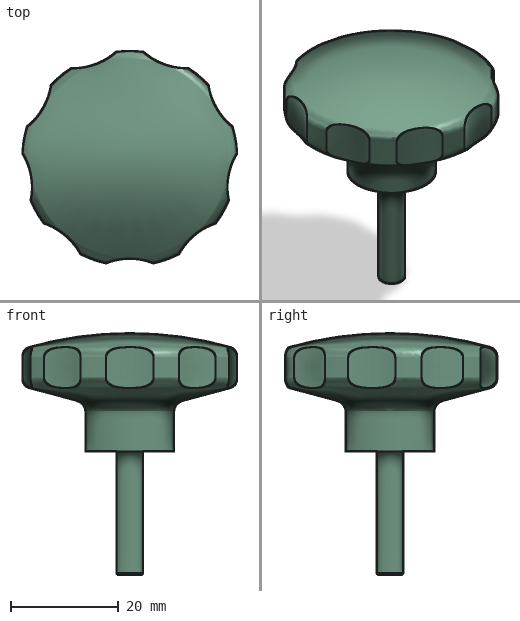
import cadquery as cq
import math

HEAD_HEIGHT = 22.0
HEAD_RADIUS = 20.0
DOME_CORNER_HEIGHT = 19.0
RIM_FILLET = 2.0

HUB_RADIUS = 8.25
HUB_CORNER_HEIGHT = 9.0
HUB_FILLET = 2.0
CONE_ANGLE = 15.0

GRIP_COUNT = 9
GRIP_RADIUS = 12.0
GRIP_CENTRE_DISTANCE = 30.65
FIRST_GRIP_ANGLE = -90.0

STUD_RADIUS = 2.5
STUD_LENGTH = 23.0
STUD_CHAMFER = 0.4

cone_rise = (HEAD_RADIUS - HUB_RADIUS) * math.tan(math.radians(CONE_ANGLE))
cone_corner_height = HUB_CORNER_HEIGHT + cone_rise
dome_rise = HEAD_HEIGHT - DOME_CORNER_HEIGHT
dome_radius = (HEAD_RADIUS**2 + dome_rise**2) / (2 * dome_rise)


def dome_point(radius):
    """Point on the spherical dome at the given distance from the axis."""
    height = HEAD_HEIGHT - dome_radius + math.sqrt(dome_radius**2 - radius**2)
    return radius, height


def round_corner(head, height, fillet_radius):
    """Fillet the circular edge whose centre lies on the axis at the given height."""
    return head.edges(cq.NearestToPointSelector((0, 0, height))).fillet(fillet_radius)


def make_head():
    """Revolved hub, conical underside, rounded rim and domed top."""
    head = (
        cq.Workplane("XZ")
        .lineTo(HUB_RADIUS, 0)
        .lineTo(HUB_RADIUS, HUB_CORNER_HEIGHT)
        .lineTo(HEAD_RADIUS, cone_corner_height)
        .lineTo(HEAD_RADIUS, DOME_CORNER_HEIGHT)
        .threePointArc(dome_point(HEAD_RADIUS / 2), (0, HEAD_HEIGHT))
        .close()
        .revolve(360, (0, 0, 0), (0, 1, 0))
    )
    head = round_corner(head, DOME_CORNER_HEIGHT, RIM_FILLET)
    head = round_corner(head, cone_corner_height, RIM_FILLET)
    return round_corner(head, HUB_CORNER_HEIGHT, HUB_FILLET)


def make_grip_cutters():
    """Vertical cylinders that scoop the finger recesses out of the rim."""
    return (
        cq.Workplane("XY")
        .polarArray(GRIP_CENTRE_DISTANCE, FIRST_GRIP_ANGLE, 360, GRIP_COUNT)
        .circle(GRIP_RADIUS)
        .extrude(HEAD_HEIGHT)
    )


def make_stud():
    """Plain stud below the hub with a chamfered tip."""
    stud = cq.Workplane("XY").circle(STUD_RADIUS).extrude(-STUD_LENGTH)
    return stud.faces("<Z").chamfer(STUD_CHAMFER)


result = make_head().cut(make_grip_cutters()).union(make_stud())